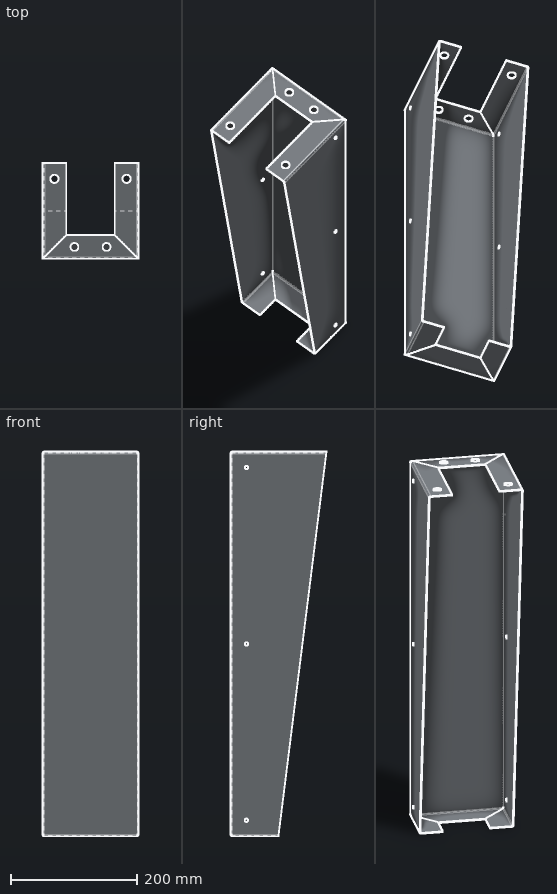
import cadquery as cq
import math

WIDTH = 152.4
HEIGHT = 609.6
TOP_DEPTH = 152.4
BOTTOM_DEPTH = TOP_DEPTH / 2

THICKNESS = 1.9
FLANGE_BEND_RADIUS = 3.4
CORNER_RADIUS = 2.4
FLANGE_WIDTH = 38.1
MITRE_ANGLE = 45
MITRE_GAP = 0.1

MOUNT_DIAMETER = 12.7
REAR_MOUNT_INSET = 25.4
REAR_MOUNT_X = WIDTH / 2 - FLANGE_WIDTH / 2
REAR_MOUNT_Y = TOP_DEPTH - REAR_MOUNT_INSET
FRONT_MOUNT_X = 25.4
FRONT_MOUNT_Y = FLANGE_WIDTH / 2

SIDE_HOLE_DIAMETER = 5.11
SIDE_HOLE_INSET = 25.4


def envelope(inset):
    """Front and side envelope moved inward by inset, running past the open rear.

    The folds along the top and bottom meet in sharp mitres, while the walls
    between them turn round the vertical corners on a radius.
    """
    half_width = WIDTH / 2 - inset
    depth = 2 * TOP_DEPTH
    walls_height = HEIGHT - 2 * FLANGE_BEND_RADIUS

    def prism(z_start, height):
        return (
            cq.Workplane("XY", origin=(0, inset + depth / 2, z_start))
            .rect(2 * half_width, depth)
            .extrude(height)
        )

    folded = prism(inset, HEIGHT - 2 * inset).faces("|Z").edges().fillet(FLANGE_BEND_RADIUS - inset)
    walls = prism(FLANGE_BEND_RADIUS, walls_height).edges("|Z and <Y").fillet(CORNER_RADIUS - inset)
    wall_band = (
        cq.Workplane("XY", origin=(0, 0, FLANGE_BEND_RADIUS))
        .rect(2 * WIDTH, 4 * depth)
        .extrude(walls_height)
    )
    return folded.cut(wall_band).union(walls)


def side_profile():
    """Tapered side outline, deep at the top and shallow at the bottom."""
    return (
        cq.Workplane("YZ", origin=(-WIDTH / 2, 0, 0))
        .polyline([(0, 0), (BOTTOM_DEPTH, 0), (TOP_DEPTH, HEIGHT), (0, HEIGHT)])
        .close()
        .extrude(WIDTH)
    )


def flange_opening():
    """U-shaped opening left between the flanges, through both ends."""
    return (
        cq.Workplane("XY", origin=(0, FLANGE_WIDTH + TOP_DEPTH / 2, 0))
        .rect(WIDTH - 2 * FLANGE_WIDTH, TOP_DEPTH)
        .extrude(HEIGHT)
    )


def mitre_slits():
    """Narrow diagonal slits that separate the flanges and their folds at each corner."""
    slit_length = 2 * FLANGE_WIDTH / math.cos(math.radians(MITRE_ANGLE))
    slits = cq.Workplane("XY")
    for side in (-1, 1):
        for z_start in (0, HEIGHT - FLANGE_BEND_RADIUS):
            slit = (
                cq.Workplane("XY")
                .box(slit_length, MITRE_GAP, FLANGE_BEND_RADIUS, centered=(True, True, False))
                .rotate((0, 0, 0), (0, 0, 1), -side * MITRE_ANGLE)
                .translate((side * WIDTH / 2, 0, z_start))
            )
            slits = slits.union(slit)
    return slits


def mount_holes():
    """Four vertical holes through the top flange only."""
    points = []
    for side in (-1, 1):
        points.append((side * FRONT_MOUNT_X, FRONT_MOUNT_Y))
        points.append((side * REAR_MOUNT_X, REAR_MOUNT_Y))
    return (
        cq.Workplane("XY", origin=(0, 0, HEIGHT))
        .pushPoints(points)
        .circle(MOUNT_DIAMETER / 2)
        .extrude(-2 * THICKNESS)
    )


def side_holes():
    """Three cross holes through both side walls."""
    heights = (SIDE_HOLE_INSET, HEIGHT / 2, HEIGHT - SIDE_HOLE_INSET)
    return (
        cq.Workplane("YZ", origin=(-WIDTH / 2, 0, 0))
        .pushPoints([(SIDE_HOLE_INSET, z) for z in heights])
        .circle(SIDE_HOLE_DIAMETER / 2)
        .extrude(WIDTH)
    )


sheet = envelope(0).cut(envelope(THICKNESS)).intersect(side_profile())
result = sheet.cut(flange_opening()).cut(mitre_slits()).cut(mount_holes()).cut(side_holes())